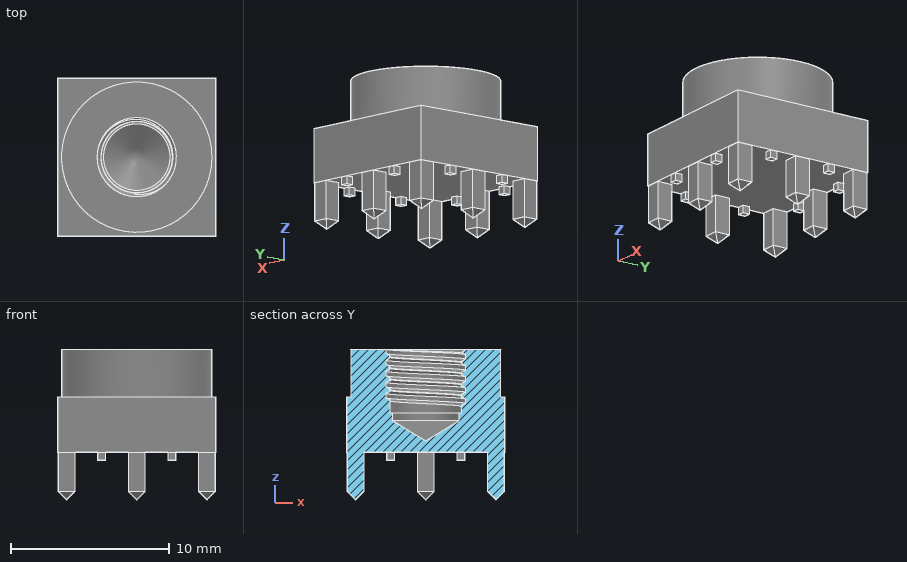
import cadquery as cq
import math

BODY_SIDE = 10.0
BODY_HEIGHT = 3.5
BOSS_DIAMETER = 9.5
BOSS_HEIGHT = 3.0
top_z = BODY_HEIGHT + BOSS_HEIGHT

PIN_WIDTH = 1.07
PIN_PITCH = 4.43
PIN_LENGTH = 3.0
PIN_TIP_TAPER = 44.9
pin_tip_length = PIN_WIDTH / 2
pin_shank_length = PIN_LENGTH - pin_tip_length

FOOT_WIDTH = 0.5
FOOT_HEIGHT = 0.5
foot_along_side = PIN_PITCH / 2
foot_from_center = PIN_PITCH + PIN_WIDTH / 2 - FOOT_WIDTH / 2

THREAD_BORE_DIAMETER = 4.5
THREAD_BORE_DEPTH = 4.0
DRILL_DIAMETER = 4.2
DRILL_DEPTH = 4.5
DRILL_TIP_ANGLE = 118.0
bore_radius = THREAD_BORE_DIAMETER / 2
drill_radius = DRILL_DIAMETER / 2
drill_tip_length = drill_radius / math.tan(math.radians(DRILL_TIP_ANGLE / 2))

THREAD_ROOT_DIAMETER = 5.0
THREAD_PITCH = 0.7
THREAD_TURNS = 6
THREAD_START_DEPTH = 3.62
THREAD_START_ANGLE = 180.0
FLANK_ANGLE = 24.0
CREST_FLAT = 0.04
CREST_STEP = 0.01
CREST_ROUNDING = 0.13
GROOVE_OVERLAP = 0.1
root_radius = THREAD_ROOT_DIAMETER / 2
entry_chamfer = root_radius - bore_radius


def pins():
    steps = (-1, 0, 1)
    spots = [(i * PIN_PITCH, j * PIN_PITCH) for i in steps for j in steps if (i, j) != (0, 0)]
    shanks = cq.Workplane("XY").pushPoints(spots).rect(PIN_WIDTH, PIN_WIDTH).extrude(-pin_shank_length)
    tips = (
        cq.Workplane("XY", origin=(0, 0, -pin_shank_length))
        .pushPoints(spots)
        .rect(PIN_WIDTH, PIN_WIDTH)
        .extrude(-pin_tip_length, taper=PIN_TIP_TAPER)
    )
    return shanks.union(tips)


def feet():
    spots = []
    for side in (-1, 1):
        for end in (-1, 1):
            spots.append((side * foot_from_center, end * foot_along_side))
            spots.append((end * foot_along_side, side * foot_from_center))
    return cq.Workplane("XY").pushPoints(spots).rect(FOOT_WIDTH, FOOT_WIDTH).extrude(-FOOT_HEIGHT)


def bore():
    outline = [
        (0, top_z),
        (root_radius, top_z),
        (bore_radius, top_z - entry_chamfer),
        (bore_radius, top_z - THREAD_BORE_DEPTH),
        (drill_radius, top_z - THREAD_BORE_DEPTH),
        (drill_radius, top_z - DRILL_DEPTH),
        (0, top_z - DRILL_DEPTH - drill_tip_length),
    ]
    return cq.Workplane("XZ").polyline(outline).close().revolve(360, (0, 0), (0, 1))


def thread_groove():
    """Helical groove with a flat root and straight flanks that round over into the crests."""
    flank = math.radians(FLANK_ANGLE)
    inner_r = bore_radius - GROOVE_OVERLAP
    mouth_r = bore_radius + CREST_STEP
    half_mouth = (THREAD_PITCH - CREST_FLAT) / 2

    def on_rounding(angle):
        """Radius and height on the crest rounding, turned by angle from the groove mouth."""
        r = mouth_r + CREST_ROUNDING * (1 - math.cos(angle))
        return r, half_mouth - CREST_ROUNDING * math.sin(angle)

    rounding_end = math.pi / 2 - flank
    mid_r, mid_z = on_rounding(rounding_end / 2)
    flank_r, flank_z = on_rounding(rounding_end)
    half_root = flank_z - (root_radius - flank_r) * math.tan(flank)
    start_z = top_z - THREAD_START_DEPTH
    profile = (
        cq.Workplane("XZ", origin=(0, 0, start_z))
        .moveTo(inner_r, -half_mouth)
        .lineTo(mouth_r, -half_mouth)
        .threePointArc((mid_r, -mid_z), (flank_r, -flank_z))
        .lineTo(root_radius, -half_root)
        .lineTo(root_radius, half_root)
        .lineTo(flank_r, flank_z)
        .threePointArc((mid_r, mid_z), (mouth_r, half_mouth))
        .lineTo(inner_r, half_mouth)
        .close()
    )
    helix = cq.Wire.makeHelix(
        THREAD_PITCH, THREAD_TURNS * THREAD_PITCH, bore_radius, center=cq.Vector(0, 0, start_z)
    )
    groove = profile.sweep(cq.Workplane(helix), isFrenet=True)
    return groove.rotate((0, 0, 0), (0, 0, 1), THREAD_START_ANGLE)


body = cq.Workplane("XY").rect(BODY_SIDE, BODY_SIDE).extrude(BODY_HEIGHT)
boss = cq.Workplane("XY", origin=(0, 0, BODY_HEIGHT)).circle(BOSS_DIAMETER / 2).extrude(BOSS_HEIGHT)
threaded_block = body.union(boss).cut(thread_groove()).cut(bore())
result = threaded_block.union(pins()).union(feet())